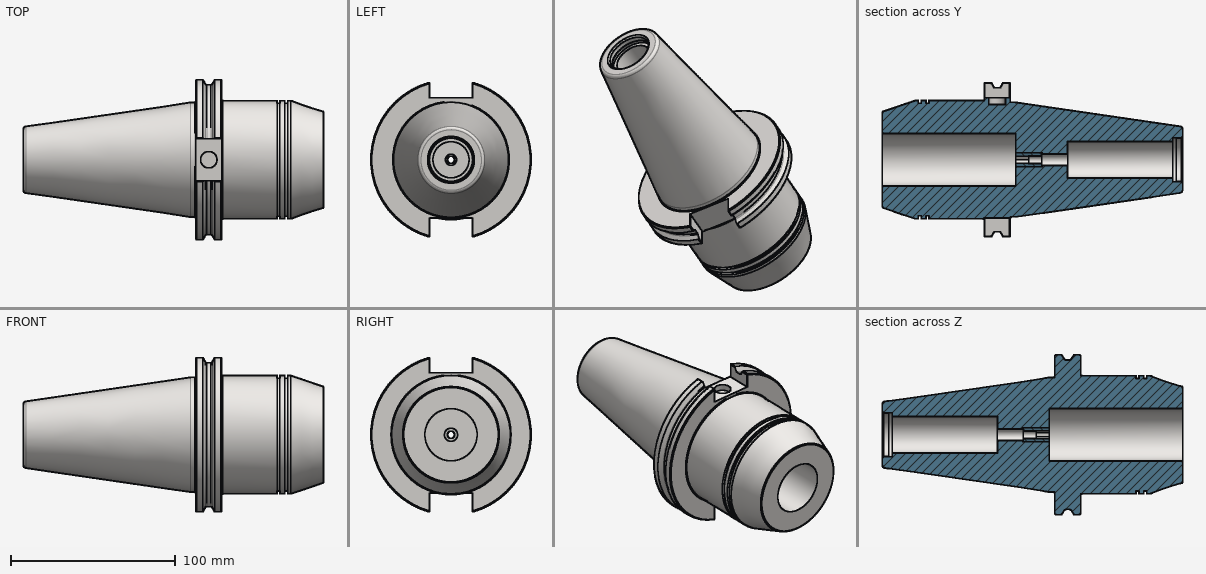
import cadquery as cq
import math


taper_length = 101.6
gauge_diameter = 69.85
taper_rate = 7 / 24
small_end_diameter = gauge_diameter - taper_rate * taper_length
small_end_fillet = 2.0

shank_collar_length = 3.2
flange_start = taper_length + shank_collar_length
flange_width = 15.9
flange_end = flange_start + flange_width
flange_diameter = 97.5
flange_chamfer = 0.6
flange_root_fillet = 0.5
flange_middle = flange_start + flange_width / 2
groove_floor_diameter = 91.2
groove_floor_width = 3.6
groove_wall_angle = math.radians(30)
groove_floor_fillet = 0.8
groove_depth = (flange_diameter - groove_floor_diameter) / 2
groove_mouth_width = groove_floor_width + 2 * groove_depth * math.tan(groove_wall_angle)

slot_width = 25.7
slot_edge_chamfer = 0.5
top_slot_floor = 37.7
bottom_slot_floor = 35.4
blind_hole_diameter = 10.0
blind_hole_depth = 4.0

total_length = 182.62
nose_diameter = 72.0
nose_end_diameter = 58.4
nose_end_chamfer = 0.5
nose_cone_start = 162.6
ring_groove_diameter = 68.7
ring_groove_width = 1.8
ring_groove_starts = (154.2, 158.9)

countersink_diameter = 28.5
countersink_depth = 0.9
pilot_diameter = 26.2
pilot_depth = 4.0
relief_diameter = 26.7
relief_end = 6.0
drawbar_bore_diameter = 21.97
drawbar_bore_depth = 70.0

tool_bore_diameter = 31.75
tool_bore_start = taper_length
passage_diameter = 6.78

screw_diameter = 8.0
screw_length = 16.0
screw_start = tool_bore_start - screw_length
screw_hole_diameter = 4.5
socket_across_flats = 4.0
socket_depth = screw_length / 2


def revolve_about_x(profile):
    """Solid of revolution about the X axis from (x, radius) points."""
    return cq.Workplane("XZ").polyline(profile).close().revolve(360, (0, 0, 0), (1, 0, 0))


def cylinder_along_x(start, end, diameter):
    """Cylinder on the X axis between two X positions."""
    radius = diameter / 2
    return revolve_about_x([(start, 0), (start, radius), (end, radius), (end, 0)])


def ring_groove(start, end, floor_diameter):
    """Ring that cuts a square groove into the nose."""
    floor = floor_diameter / 2
    outside = nose_diameter
    return revolve_about_x([(start, floor), (start, outside), (end, outside), (end, floor)])


def make_turned_body():
    """Taper shank, flange and nose as one turned solid."""
    gauge_radius = gauge_diameter / 2
    flange_radius = flange_diameter / 2
    nose_radius = nose_diameter / 2
    chamfered_radius = flange_radius - flange_chamfer
    shank_root = flange_start - flange_root_fillet
    nose_root = flange_end + flange_root_fillet
    fillet_middle = flange_root_fillet * (1 - math.sqrt(0.5))
    body = (
        cq.Workplane("XZ")
        .moveTo(0, 0)
        .lineTo(0, small_end_diameter / 2)
        .lineTo(taper_length, gauge_radius)
        .lineTo(shank_root, gauge_radius)
        .threePointArc(
            (flange_start - fillet_middle, gauge_radius + fillet_middle),
            (flange_start, gauge_radius + flange_root_fillet),
        )
        .lineTo(flange_start, chamfered_radius)
        .lineTo(flange_start + flange_chamfer, flange_radius)
        .lineTo(flange_end - flange_chamfer, flange_radius)
        .lineTo(flange_end, chamfered_radius)
        .lineTo(flange_end, nose_radius + flange_root_fillet)
        .threePointArc(
            (flange_end + fillet_middle, nose_radius + fillet_middle),
            (nose_root, nose_radius),
        )
        .lineTo(nose_cone_start, nose_radius)
        .lineTo(total_length, nose_end_diameter / 2)
        .lineTo(total_length, 0)
        .close()
        .revolve(360, (0, 0, 0), (1, 0, 0))
    )
    body = body.faces("<X").edges().fillet(small_end_fillet)
    return body.faces(">X").edges().chamfer(nose_end_chamfer)


def make_gripper_groove():
    """V-shaped ring with rounded floor corners."""
    floor_radius = groove_floor_diameter / 2
    outside_radius = flange_diameter / 2
    groove = revolve_about_x([
        (flange_middle - groove_mouth_width / 2, outside_radius),
        (flange_middle - groove_floor_width / 2, floor_radius),
        (flange_middle + groove_floor_width / 2, floor_radius),
        (flange_middle + groove_mouth_width / 2, outside_radius),
    ])
    halfway_radius = (floor_radius + outside_radius) / 2
    floor_corners = [e for e in groove.edges("%CIRCLE").vals() if e.radius() < halfway_radius]
    return groove.newObject(floor_corners).fillet(groove_floor_fillet)


def make_drive_slot():
    """Slot cutter that stands on Z = 0, flared to chamfer the slot walls at both faces and at the lands."""
    half_width = slot_width / 2
    flared_half_width = half_width + slot_edge_chamfer
    near_chamfer = flange_start + slot_edge_chamfer
    far_chamfer = flange_end - slot_edge_chamfer
    plan = [
        (flange_start, -flared_half_width),
        (near_chamfer, -half_width),
        (far_chamfer, -half_width),
        (flange_end, -flared_half_width),
        (flange_end, flared_half_width),
        (far_chamfer, half_width),
        (near_chamfer, half_width),
        (flange_start, flared_half_width),
    ]
    slot = cq.Workplane("XY").polyline(plan).close().extrude(flange_diameter / 2)

    land_height = math.sqrt((flange_diameter / 2) ** 2 - flared_half_width**2)
    mouth_half_width = flared_half_width + slot_edge_chamfer
    mouth = [
        (-half_width, land_height - slot_edge_chamfer),
        (half_width, land_height - slot_edge_chamfer),
        (mouth_half_width, land_height + slot_edge_chamfer),
        (-mouth_half_width, land_height + slot_edge_chamfer),
    ]
    flare = cq.Workplane("YZ", origin=(flange_start, 0, 0)).polyline(mouth).close().extrude(flange_width)
    return slot.union(flare)


def cut_drive_slots(holder):
    """Cut each slot down to its own floor height."""
    for floor, turn in ((top_slot_floor, 0), (bottom_slot_floor, 180)):
        core = cq.Workplane("XY").box(2 * flange_end, flange_diameter, 2 * floor)
        slot = make_drive_slot().cut(core)
        holder = holder.cut(slot.rotate((0, 0, 0), (1, 0, 0), turn))
    return holder


def make_bores():
    """Drawbar bore, passage, screw seat and tool bore as one stepped cutter."""
    return revolve_about_x([
        (0, 0),
        (0, countersink_diameter / 2),
        (countersink_depth, pilot_diameter / 2),
        (pilot_depth, pilot_diameter / 2),
        (pilot_depth, relief_diameter / 2),
        (relief_end, relief_diameter / 2),
        (relief_end, drawbar_bore_diameter / 2),
        (drawbar_bore_depth, drawbar_bore_diameter / 2),
        (drawbar_bore_depth, passage_diameter / 2),
        (screw_start, passage_diameter / 2),
        (screw_start, screw_diameter / 2),
        (tool_bore_start, screw_diameter / 2),
        (tool_bore_start, tool_bore_diameter / 2),
        (total_length, tool_bore_diameter / 2),
        (total_length, 0),
    ])


def make_blind_hole():
    """Round hole in the middle of the top drive slot."""
    hole_floor = top_slot_floor - blind_hole_depth
    return (
        cq.Workplane("XY", origin=(flange_middle, 0, hole_floor))
        .circle(blind_hole_diameter / 2)
        .extrude(blind_hole_depth)
    )


def make_holder():
    """The whole tool holder, with its bores and the seat of the stop screw."""
    holder = make_turned_body().cut(make_gripper_groove())
    for start in ring_groove_starts:
        holder = holder.cut(ring_groove(start, start + ring_groove_width, ring_groove_diameter))
    holder = cut_drive_slots(holder)
    return holder.cut(make_bores()).cut(make_blind_hole())


def make_stop_screw():
    """Screw with a hexagon socket from the tool side and a round hole through the rest."""
    screw = cylinder_along_x(screw_start, tool_bore_start, screw_diameter)
    socket_start = tool_bore_start - socket_depth
    socket_across_corners = socket_across_flats / math.cos(math.pi / 6)
    socket = (
        cq.Workplane("YZ", origin=(socket_start, 0, 0))
        .polygon(6, socket_across_corners)
        .extrude(socket_depth)
    )
    return screw.cut(socket).cut(cylinder_along_x(screw_start, socket_start, screw_hole_diameter))


holder = make_holder()
stop_screw = make_stop_screw()

result = cq.Compound.makeCompound([holder.val(), stop_screw.val()])